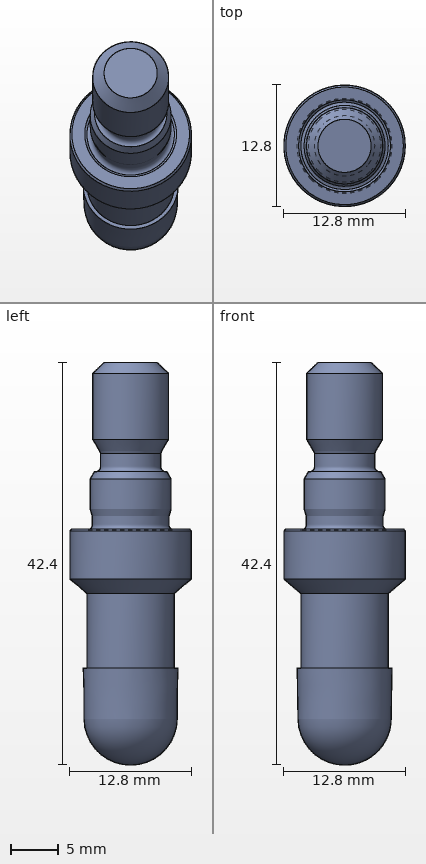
import cadquery as cq
import math

total_height = 42.4
tip_top = 10.2
collar_cone_bottom = 18.05
collar_cone_top = 19.6
collar_top = 24.88
groove_top = 26.2
seat_bottom = 26.9
seat_top = 30.15
seat_shoulder = 30.9
neck_top = 32.8
head_bottom = 34.3
head_chamfer_bottom = 41.25

shank_radius = 9.2 / 2
collar_radius = 12.8 / 2
groove_radius = 8.1 / 2
seat_radius = 8.5 / 2
seat_shoulder_radius = 3.8
neck_radius = 6.35 / 2
head_radius = 8.0 / 2
head_top_radius = 2.8
tip_top_radius = 5.0
nose_radius = 4.9

collar_bevel = 0.2
groove_fillet = 0.55
undercut_depth = 0.13
undercut_outer_radius = 4.85
neck_lower_fillet = 0.5
neck_upper_cone_height = 0.2
neck_upper_cone_width = 0.1

DIAGONAL = math.sqrt(0.5)


def fillet_midpoint(radius, bottom, fillet):
    """Middle of the concave fillet between a cylinder and the shoulder below it."""
    offset = fillet * (1 - DIAGONAL)
    return (radius + offset, bottom + offset)


def revolve_profile(profile):
    """Turn a closed (radius, height) profile around the Z axis."""
    return profile.close().revolve(360, (0, 0, 0), (0, 1, 0))


def make_pin():
    """Turned pin with a collar, a grooved seat, a neck and a chamfered head."""
    groove_bottom = collar_top - undercut_depth
    profile = (
        cq.Workplane("XZ")
        .moveTo(0, tip_top)
        .lineTo(shank_radius, tip_top)
        .lineTo(shank_radius, collar_cone_bottom)
        .lineTo(collar_radius, collar_cone_top)
        .lineTo(collar_radius, collar_top - collar_bevel)
        .lineTo(collar_radius - collar_bevel, collar_top)
        .lineTo(undercut_outer_radius, collar_top)
        .lineTo(groove_radius + groove_fillet, groove_bottom)
        .threePointArc(
            fillet_midpoint(groove_radius, groove_bottom, groove_fillet),
            (groove_radius, groove_bottom + groove_fillet),
        )
        .lineTo(groove_radius, groove_top)
        .lineTo(seat_radius, seat_bottom)
        .lineTo(seat_radius, seat_top)
        .lineTo(seat_shoulder_radius, seat_shoulder)
        .lineTo(neck_radius + neck_lower_fillet, seat_shoulder)
        .threePointArc(
            fillet_midpoint(neck_radius, seat_shoulder, neck_lower_fillet),
            (neck_radius, seat_shoulder + neck_lower_fillet),
        )
        .lineTo(neck_radius, neck_top)
        .lineTo(neck_radius + neck_upper_cone_width, neck_top + neck_upper_cone_height)
        .lineTo(head_radius, head_bottom)
        .lineTo(head_radius, head_chamfer_bottom)
        .lineTo(head_top_radius, total_height)
        .lineTo(0, total_height)
    )
    return revolve_profile(profile)


def make_tip():
    """Slightly tapered tip with a spherical nose tangent to the taper."""
    rim_height = tip_top - nose_radius
    rim_distance = math.hypot(tip_top_radius, rim_height)
    taper = math.acos(nose_radius / rim_distance) - math.atan2(rim_height, tip_top_radius)
    arc_end = -taper
    arc_middle = (arc_end - math.pi / 2) / 2

    def nose_point(angle):
        return (nose_radius * math.cos(angle), nose_radius * (1 + math.sin(angle)))

    profile = (
        cq.Workplane("XZ")
        .moveTo(0, 0)
        .threePointArc(nose_point(arc_middle), nose_point(arc_end))
        .lineTo(tip_top_radius, tip_top)
        .lineTo(0, tip_top)
    )
    return revolve_profile(profile)


pin = make_pin()
tip = make_tip()
result = cq.Compound.makeCompound([pin.val(), tip.val()])